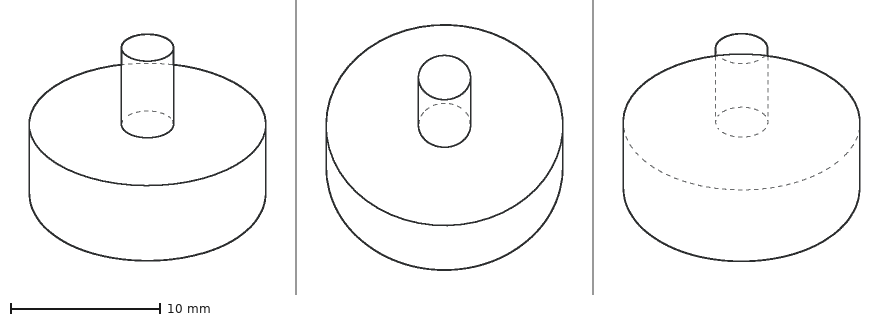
import cadquery as cq
import math

body_diameter = 15.88
stem_diameter = 3.5
total_height = 15.3
stem_length = 6.0
cone_slope = 22.5
edge_radius = 1.0

body_radius = body_diameter / 2
stem_radius = stem_diameter / 2

tip_z = stem_length - total_height
cone_base_z = tip_z + body_radius * math.tan(math.radians(cone_slope))


def make_body():
    """Flat-topped cylinder with a conical underside and a rounded lower edge."""
    half_profile = (
        cq.Workplane("XZ")
        .moveTo(0, 0)
        .lineTo(body_radius, 0)
        .lineTo(body_radius, cone_base_z)
        .lineTo(0, tip_z)
        .close()
    )
    body = half_profile.revolve(360, (0, 0, 0), (0, 1, 0))
    return body.edges("%CIRCLE").edges("<Z").fillet(edge_radius)


def make_stem():
    """Plain round pin standing on the centre of the body's top face."""
    return cq.Workplane("XY").circle(stem_radius).extrude(stem_length)


result = make_body().union(make_stem())